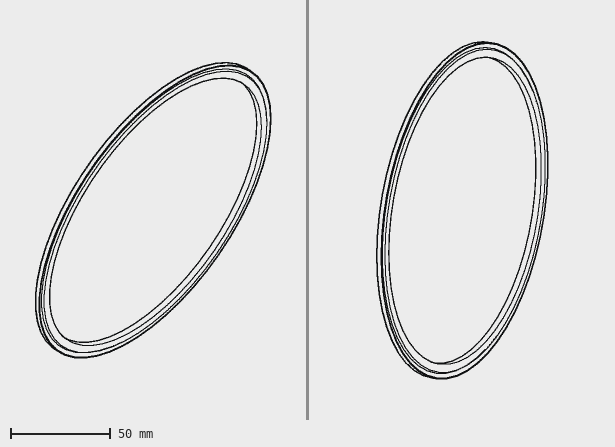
import cadquery as cq

outer_radius = 85.5
bore_radius = 156.0 / 2
body_width = 3.3
body_radius = 82.1
groove_radius = 82.8
groove_width = 1.0
rim_width = 2.5
rim_flat = 0.5

half_section = [
    (body_width / 2, bore_radius),
    (body_width / 2, body_radius),
    (groove_width / 2, groove_radius),
    (rim_width / 2, outer_radius - rim_flat),
    (rim_width / 2, outer_radius),
]
mirrored_half = [(-x, radius) for x, radius in reversed(half_section)]

result = (
    cq.Workplane("XY")
    .polyline(half_section + mirrored_half)
    .close()
    .revolve(360, (0, 0, 0), (1, 0, 0))
)